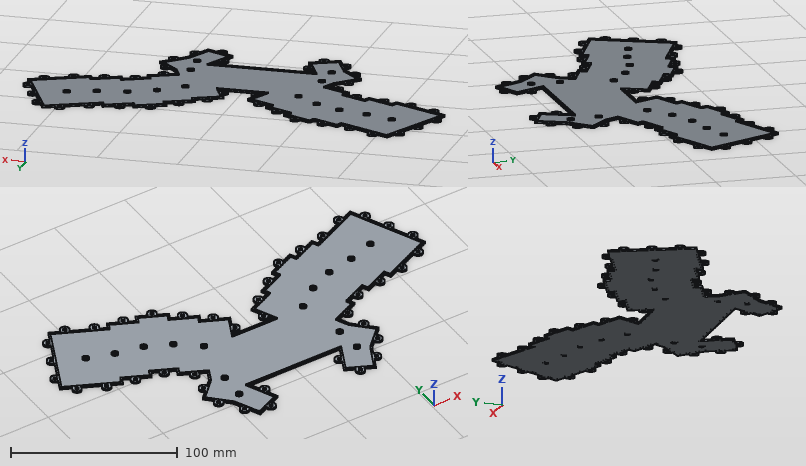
import cadquery as cq
import math

length = 260.5
thickness = 1.2
recess_depth = thickness / 2
rim_width = 1.2

column_pitch = 18.0
rows = 3
block_height = 51.0
row_pitch = block_height / rows
stagger = row_pitch / 4
column_steps = [0, 1, 2, 1, 0, 0]
finger_angle = 25
finger_origin_height = 38.0

lug_diameter = 6.0
hole_diameter = 2.2
boss_diameter = 4.2
lug_reach = rim_width + lug_diameter / 4

bridge_top = 4.5
bridge_bottom = -38.8

near_thumb = (48.7, -36.2)
near_thumb_angle = 45
far_thumb = (36.7, -53.2)
far_thumb_angle = 65
thumb_screws = [(41.0, -26.3), (42.0, -44.0)]


def placed(center, angle, along, across):
    """Point at (along, across) in a frame at center, turned by angle degrees."""
    c = math.cos(math.radians(angle))
    s = math.sin(math.radians(angle))
    return (center[0] + along * c - across * s, center[1] + along * s + across * c)


def mirrored(points):
    """The same points on the left half."""
    return [(-x, y) for x, y in points]


half_column = column_pitch / 2
half_row = row_pitch / 2
half_block = block_height / 2
last_column = len(column_steps) - 1
outer_lug = placed((0, 0), finger_angle, half_column + lug_reach, -row_pitch)
finger_origin = (length / 2 - lug_diameter / 2 - outer_lug[0], finger_origin_height)


def finger(along, across):
    return placed(finger_origin, finger_angle, along, across)


def near(along, across):
    return placed(near_thumb, near_thumb_angle, along, across)


def far(along, across):
    return placed(far_thumb, far_thumb_angle, along, across)


def column_center(index):
    return (index - last_column) * column_pitch


def at_height(start, end, y):
    """Point at height y on the line through start and end."""
    t = (y - start[1]) / (end[1] - start[1])
    return (start[0] + t * (end[0] - start[0]), y)


def finger_edge(first, side):
    """Corners of the stepped edge above (side 1) or below (side -1) the columns from first outwards."""
    points = []
    for i in range(first, len(column_steps)):
        across = column_steps[i] * stagger + side * half_block
        if i > first and column_steps[i] == column_steps[i - 1]:
            points.pop()
        else:
            points.append(finger(column_center(i) - half_column, across))
        points.append(finger(column_center(i) + half_column, across))
    return points


def floor_outline():
    """Recess outline: the right half from the top of the bridge to its bottom, then the left half."""
    top_edge = finger_edge(0, 1)
    bottom_edge = finger_edge(1, -1)
    inner_side = finger(column_center(0) - half_column, 0)
    far_inner_top = far(half_column, half_row)
    far_inner_bottom = far(-half_column, half_row)

    right = [at_height(top_edge[0], inner_side, bridge_top)]
    right += top_edge
    right += reversed(bottom_edge)
    right += [
        near(half_column, half_row),
        near(half_column, -half_row),
        near(-half_column, -half_row),
        far(-half_column, -half_row),
        far_inner_bottom,
        at_height(far_inner_bottom, far_inner_top, bridge_bottom),
    ]
    return right + mirrored(reversed(right))


def lug_points():
    """One lug at the middle of every free cell side on the right half."""
    points = []
    for i, step in enumerate(column_steps):
        middle = step * stagger
        points.append(finger(column_center(i), middle + half_block + lug_reach))
        if i > 0:
            points.append(finger(column_center(i), middle - half_block - lug_reach))
    for row in (-1, 0, 1):
        points.append(finger(half_column + lug_reach, row * row_pitch))
    points.append(finger(column_center(0) - half_column - lug_reach, row_pitch))
    points.append(near(half_column + lug_reach, 0))
    points.append(near(0, -half_row - lug_reach))
    points.append(far(0, -half_row - lug_reach))
    points.append(far(-half_column - lug_reach, 0))
    points.append(far(0, half_row + lug_reach))
    return points


def screw_points():
    """Screws between neighbouring finger columns, at their mean height, and in the thumb area."""
    points = list(thumb_screws)
    for i in range(last_column):
        mean_step = (column_steps[i] + column_steps[i + 1]) / 2
        points.append(finger(column_center(i) + half_column, mean_step * stagger))
    return points


lugs = lug_points() + mirrored(lug_points())
screws = screw_points() + mirrored(screw_points())
floor_height = thickness - recess_depth

plate = (
    cq.Workplane("XY")
    .polyline(floor_outline())
    .close()
    .offset2D(rim_width, "intersection")
    .extrude(thickness)
)
lug_discs = cq.Workplane("XY").pushPoints(lugs).circle(lug_diameter / 2).extrude(thickness)

recess = (
    cq.Workplane("XY")
    .workplane(offset=floor_height)
    .polyline(floor_outline())
    .close()
    .extrude(recess_depth)
)

bosses = cq.Workplane("XY").pushPoints(screws).circle(boss_diameter / 2).extrude(thickness)
holes = cq.Workplane("XY").pushPoints(lugs + screws).circle(hole_diameter / 2).extrude(thickness)
result = plate.union(lug_discs).cut(recess).union(bosses).cut(holes)